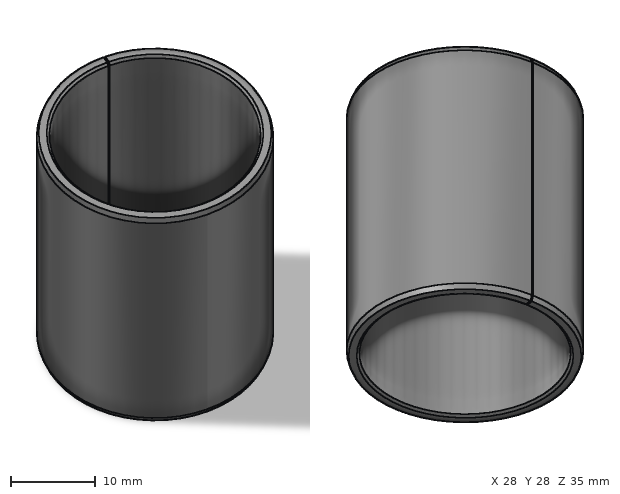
import cadquery as cq

length = 35.0
outer_diameter = 28.0
inner_diameter = 25.0

outer_chamfer_length = 0.7
outer_chamfer_depth = 0.25
inner_chamfer = 0.3

seam_width = 0.2

outer_radius = outer_diameter / 2
inner_radius = inner_diameter / 2
half_length = length / 2


def make_sleeve():
    """Revolve the chamfered wall section about the Z axis."""
    upper_half = [
        (inner_radius, half_length - inner_chamfer),
        (inner_radius + inner_chamfer, half_length),
        (outer_radius - outer_chamfer_depth, half_length),
        (outer_radius, half_length - outer_chamfer_length),
    ]
    lower_half = [(radius, -z) for radius, z in reversed(upper_half)]
    section = cq.Workplane("XZ").polyline(upper_half + lower_half).close()
    return section.revolve(360, (0, 0, 0), (0, 1, 0))


def make_seam():
    """Slab from the axis out through the -X wall, on the +Y side of the plane Y = 0."""
    slab = cq.Workplane("XY").box(outer_radius, seam_width, length, centered=(False, False, True))
    return slab.translate((-outer_radius, 0, 0))


result = make_sleeve().cut(make_seam())